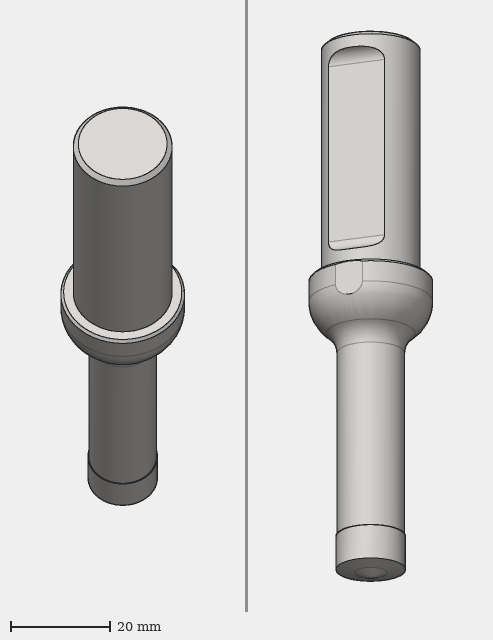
import cadquery as cq
import math

TOTAL_LENGTH = 114.2
FLANGE_TOP = 64.3
FLANGE_BOTTOM = 59.4
NECK_TOP = 48.3
HEAD_TOP = 9.1
HEAD_EDGE = 1.9
POINT_BREAK = 1.3

SHANK_RADIUS = 20.0 / 2
FLANGE_RADIUS = 25.0 / 2
NECK_RADIUS = 13.7 / 2
HEAD_RADIUS = 14.0 / 2
POINT_RADIUS = 6.5 / 2

SHANK_CHAMFER_WIDTH = 1.0
SHANK_CHAMFER_HEIGHT = 0.9
FLANGE_CHAMFER = 0.6

CONVEX_SHARE = 0.62

SHANK_FLAT_DEPTH = 2.0
SHANK_FLAT_TOP = 110.9
SHANK_FLAT_BOTTOM = 67.4
SHANK_FLAT_CORNER_RADIUS = 3.0

FLANGE_FLAT_DEPTH = 0.3


def turn(profile):
    """Revolve a closed radius/height profile about the Z axis."""
    return profile.close().revolve(360, (0, 0, 0), (0, 1, 0))


def turned_holder():
    """Shank, flange and neck, with two tangent arcs running from flange to neck."""
    radius_drop = FLANGE_RADIUS - NECK_RADIUS
    transition_height = FLANGE_BOTTOM - NECK_TOP
    sweep = 2 * math.atan(radius_drop / transition_height)
    convex_radius = CONVEX_SHARE * transition_height / math.sin(sweep)
    concave_radius = (1 - CONVEX_SHARE) * transition_height / math.sin(sweep)

    def convex_point(angle):
        return (
            FLANGE_RADIUS - convex_radius * (1 - math.cos(angle)),
            FLANGE_BOTTOM - convex_radius * math.sin(angle),
        )

    def concave_point(angle):
        return (
            NECK_RADIUS + concave_radius * (1 - math.cos(angle)),
            NECK_TOP + concave_radius * math.sin(angle),
        )

    return turn(
        cq.Workplane("XZ")
        .moveTo(0, HEAD_TOP)
        .lineTo(0, TOTAL_LENGTH)
        .lineTo(SHANK_RADIUS - SHANK_CHAMFER_WIDTH, TOTAL_LENGTH)
        .lineTo(SHANK_RADIUS, TOTAL_LENGTH - SHANK_CHAMFER_HEIGHT)
        .lineTo(SHANK_RADIUS, FLANGE_TOP)
        .lineTo(FLANGE_RADIUS - FLANGE_CHAMFER, FLANGE_TOP)
        .lineTo(FLANGE_RADIUS, FLANGE_TOP - FLANGE_CHAMFER)
        .lineTo(FLANGE_RADIUS, FLANGE_BOTTOM)
        .threePointArc(convex_point(sweep / 2), convex_point(sweep))
        .threePointArc(concave_point(sweep / 2), (NECK_RADIUS, NECK_TOP))
        .lineTo(NECK_RADIUS, HEAD_TOP)
    )


def shank_flat_cutter():
    """Block that leaves a flat with rounded inner ends on the shank."""
    length = SHANK_FLAT_TOP - SHANK_FLAT_BOTTOM
    return (
        cq.Workplane("XY")
        .box(2 * SHANK_RADIUS, SHANK_RADIUS, length, centered=(True, False, False))
        .edges("<Y and |X")
        .fillet(SHANK_FLAT_CORNER_RADIUS)
        .translate((0, SHANK_RADIUS - SHANK_FLAT_DEPTH, SHANK_FLAT_BOTTOM))
    )


def flange_flat_cutter():
    """Block that trims the flange and the rounded transition below it."""
    return (
        cq.Workplane("XY")
        .box(2 * FLANGE_RADIUS, FLANGE_RADIUS, FLANGE_TOP - NECK_TOP, centered=(True, False, False))
        .translate((0, FLANGE_RADIUS - FLANGE_FLAT_DEPTH, NECK_TOP))
    )


def make_holder():
    return turned_holder().cut(shank_flat_cutter()).cut(flange_flat_cutter())


def make_drill_head():
    """Cylindrical cutting head ending in a shallow cone and a steeper centre point."""
    return turn(
        cq.Workplane("XZ")
        .moveTo(0, 0)
        .lineTo(POINT_RADIUS, POINT_BREAK)
        .lineTo(HEAD_RADIUS, HEAD_EDGE)
        .lineTo(HEAD_RADIUS, HEAD_TOP)
        .lineTo(0, HEAD_TOP)
    )


holder = make_holder()
drill_head = make_drill_head()

result = cq.Compound.makeCompound([holder.val(), drill_head.val()])